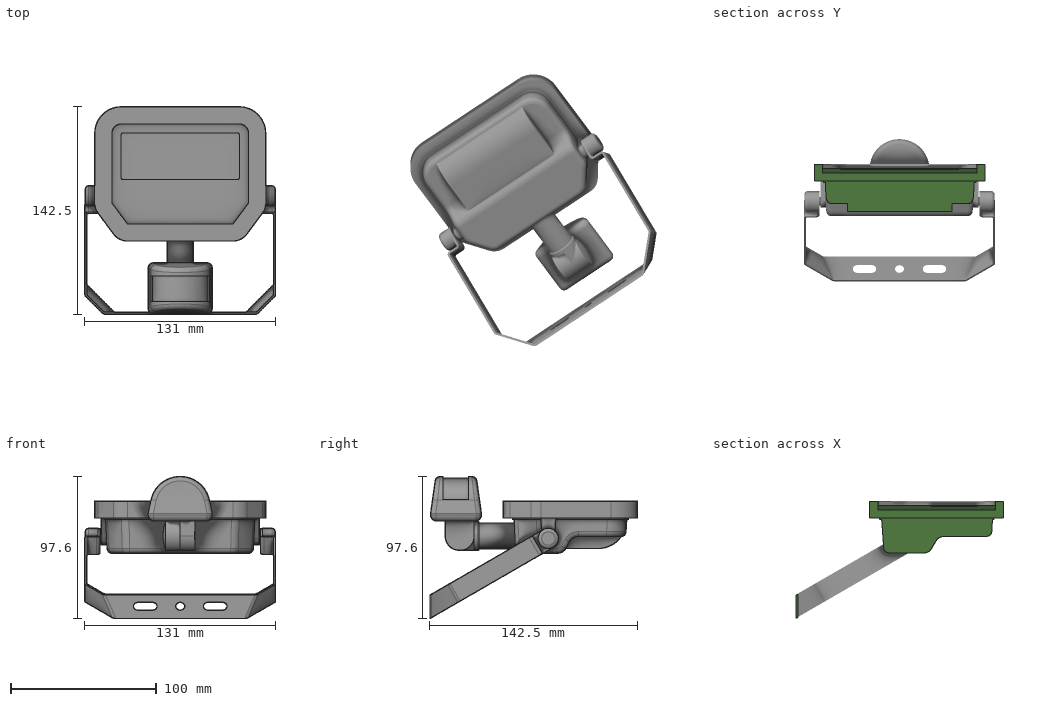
import cadquery as cq
import math


frame_height = 11.7
frame_border = 11.85
opening_half_width = 46.85
opening_rear_y = 34.4
opening_front_y = -34.15
opening_front_half_width = 36.2
opening_chamfer_y = -19.85
opening_rear_radius = 6.5
lip_thickness = 1.0
panel_border = 6.0
panel_recess = 2.9
panel_thickness = 3.0
window_width = 81.2
window_length = 32.0
window_center_y = 12.2
window_radius = 1.5
window_thickness = 1.0

housing_depth = 24.2
housing_border = 4.45
housing_draft = 3.0
housing_rear_radius = 13.4
housing_front_radius = 6.5
housing_edge_fillet = 3.6
rim_border = 5.55
rim_thickness = 1.0
shallow_depth = 12.7
step_bend_radius = 6.9
step_angle = 60.0
step_front_y = -8.9
belly_half_width = 36.0
belly_depth = 21.0
belly_rear_radius = 20.0

pivot_y = -14.95
pivot_z = -13.96
post_width_top = 10.3
post_width_bottom = 8.8
post_outer_x = 54.3
post_edge_fillet = 0.6
knob_radius = 7.0
knob_outer_x = 65.2
knob_fillet = 2.4
screw_diameter = 5.8
screw_inner_x = 48.0
ear_hole_diameter = 6.0
sheet = 1.5
bend_inner_radius = 1.0
bend_outer_radius = bend_inner_radius + sheet
bracket_tilt = 30.0
bracket_half_width = 65.5
bracket_band = 14.0
ear_inner_x = 55.0
ear_outer_x = ear_inner_x + sheet
jog_distance = 8.6
diagonal_distance = 74.9
bracket_front_y = -96.25
mounting_hole = 6.0
slot_pitch = 10.0
slot_x = 24.0

hinge_y = -75.8
hinge_z = -12.2
hinge_radius = 10.0
hinge_half_width = 10.0
hinge_cap_height = 1.8
stem_diameter = 18.0
collar_rear_y = -62.5
collar_fillet = 0.95
stem_socket_depth = 3.0
stem_rear_y = -36.0
head_center_y = -78.3
head_half_length = 17.5
head_bottom_z = -2.0
head_straight_height = 5.2
head_side_draft = 12.0
head_end_draft = 8.0
head_dome_radius = 20.5
head_top_z = 28.6
head_end_fillet = 3.6
head_bottom_fillet = 4.2
lens_length = 17.5
lens_center_y = -78.55
lens_bottom_z = 12.7
lens_inset = 1.0


def box_between(x0, x1, y0, y1, z0, z1):
    return cq.Workplane("XY").box(x1 - x0, y1 - y0, z1 - z0, centered=False).translate((x0, y0, z0))


def corner_edges(block, x, y):
    """The upright edges that start at (+-x, y) on the XY plane."""
    corners = [cq.Vector(side * x, y, 0) for side in (-1, 1)]
    found = []
    for edge in block.edges("not #Z").vals():
        ends = (edge.startPoint(), edge.endPoint())
        if any((end - corner).Length < 0.01 for end in ends for corner in corners):
            found.append(edge)
    return block.newObject(found)


def plan_block(border, height, rear_radius, front_radius, draft=0):
    """Six-sided block, a border wider than the frame opening, on the XY plane, with rounded corners."""
    flank_x = opening_half_width - opening_front_half_width
    flank_y = opening_chamfer_y - opening_front_y
    flank_angle = math.atan2(flank_y, flank_x)
    half_width = opening_half_width + border
    rear_y = opening_rear_y + border
    front_y = opening_front_y - border
    shoulder_y = opening_chamfer_y - border * math.tan((math.pi / 2 - flank_angle) / 2)
    front_half_width = opening_front_half_width + border * math.tan(flank_angle / 2)
    block = (
        cq.Workplane("XY")
        .polyline([
            (-half_width, rear_y),
            (half_width, rear_y),
            (half_width, shoulder_y),
            (front_half_width, front_y),
            (-front_half_width, front_y),
            (-half_width, shoulder_y),
        ])
        .close()
        .extrude(height, taper=draft)
    )
    block = block.edges("not #Z").edges(">Y").fillet(rear_radius)
    if front_radius > 0:
        block = corner_edges(block, half_width, shoulder_y).fillet(front_radius)
        block = corner_edges(block, front_half_width, front_y).fillet(front_radius)
    return block


panel_top_z = frame_height - panel_recess
panel_bottom_z = panel_top_z - panel_thickness


def panel_block(height):
    block = plan_block(panel_border, height, opening_rear_radius + panel_border, panel_border)
    return block.translate((0, 0, panel_bottom_z))


def make_frame():
    outer = plan_block(frame_border, frame_height, opening_rear_radius + frame_border, frame_border)
    opening = plan_block(0, panel_thickness + panel_recess, opening_rear_radius, 0)
    opening = opening.translate((0, 0, panel_bottom_z))
    chamber = panel_block(frame_height - lip_thickness - panel_bottom_z)
    return outer.cut(opening).cut(chamber)


def make_window():
    plate = cq.Workplane("XY").box(window_width, window_length, window_thickness)
    plate = plate.edges("|Z").fillet(window_radius)
    return plate.translate((0, window_center_y, panel_top_z - window_thickness / 2))


def make_panel(window):
    return panel_block(panel_thickness).cut(window)


def side_profile_cutter():
    """Everything above the stepped underside, as a prism across the full width."""
    angle = math.radians(step_angle)
    arc_y = step_bend_radius * math.sin(angle)
    arc_z = step_bend_radius * (1 - math.cos(angle))
    ramp_z = housing_depth - shallow_depth - 2 * arc_z
    ramp_y = ramp_z / math.tan(angle)
    half = angle / 2
    mid_y = step_bend_radius * math.sin(half)
    mid_z = step_bend_radius * (1 - math.cos(half))
    lower_y = step_front_y + arc_y
    upper_y = lower_y + ramp_y
    rear_y = upper_y + arc_y
    reach = 100.0
    return (
        cq.Workplane("YZ")
        .moveTo(-reach, -housing_depth)
        .lineTo(step_front_y, -housing_depth)
        .threePointArc(
            (step_front_y + mid_y, mid_z - housing_depth),
            (lower_y, arc_z - housing_depth),
        )
        .lineTo(upper_y, -shallow_depth - arc_z)
        .threePointArc((rear_y - mid_y, -shallow_depth - mid_z), (rear_y, -shallow_depth))
        .lineTo(reach, -shallow_depth)
        .lineTo(reach, 0)
        .lineTo(-reach, 0)
        .close()
        .extrude(reach, both=True)
    )


def make_shell():
    block = plan_block(
        housing_border, -housing_depth, housing_rear_radius, housing_front_radius, housing_draft
    )
    block = block.intersect(side_profile_cutter())
    return block.faces("<Z").edges("<Y").fillet(housing_edge_fillet)


def make_belly():
    """Deeper middle part behind the step, rounded off at the rear."""
    rear_y = opening_rear_y + housing_border
    belly = box_between(-belly_half_width, belly_half_width, step_front_y, rear_y, -belly_depth, 0)
    return belly.edges(">Y and <Z").fillet(belly_rear_radius)


def make_post(side):
    half_top = post_width_top / 2
    half_bottom = post_width_bottom / 2
    post = (
        cq.Workplane("YZ", origin=(side * belly_half_width, pivot_y, 0))
        .moveTo(-half_top, 0)
        .lineTo(-half_bottom, pivot_z)
        .threePointArc((0, pivot_z - half_bottom), (half_bottom, pivot_z))
        .lineTo(half_top, 0)
        .close()
        .extrude(side * (post_outer_x - belly_half_width))
    )
    outer_face = post.faces(">X" if side > 0 else "<X")
    return outer_face.edges("not >Z").fillet(post_edge_fillet)


def pivot_cylinder(side, diameter, inner_x, outer_x):
    return (
        cq.Workplane("YZ", origin=(side * inner_x, pivot_y, pivot_z))
        .circle(diameter / 2)
        .extrude(side * (outer_x - inner_x))
    )


def make_housing():
    rim = plan_block(rim_border, -rim_thickness, housing_rear_radius, housing_front_radius)
    housing = make_shell().union(make_belly()).union(rim)
    for side in (-1, 1):
        housing = housing.union(make_post(side))
        housing = housing.cut(pivot_cylinder(side, screw_diameter, screw_inner_x, post_outer_x))
    socket = y_cylinder(stem_diameter / 2, stem_rear_y - 2 * stem_socket_depth, stem_rear_y)
    return housing.cut(socket)


def make_knob(side):
    knob = pivot_cylinder(side, 2 * knob_radius, ear_outer_x, knob_outer_x)
    knob = knob.faces(">X" if side > 0 else "<X").edges().fillet(knob_fillet)
    return knob.union(pivot_cylinder(side, screw_diameter, screw_inner_x, ear_outer_x))


tilt = math.radians(bracket_tilt)
strip_plane = cq.Plane(
    origin=(0, pivot_y, pivot_z),
    xDir=(1, 0, 0),
    normal=(0, -math.sin(tilt), math.cos(tilt)),
)


def strip_prism(points):
    return cq.Workplane(strip_plane).polyline(points).close().extrude(bracket_band / 2, both=True)


def strip_rectangle(x0, x1, y0, y1):
    return strip_prism([(x0, y0), (x1, y0), (x1, y1), (x0, y1)])


def strip_edges(body, x, y):
    """The edges across the strip at local (+-x, y)."""
    corners = [strip_plane.toWorldCoords((side * x, y, 0)) for side in (-1, 1)]
    found = []
    for edge in body.edges().vals():
        if any((edge.Center() - corner).Length < 0.01 for corner in corners):
            found.append(edge)
    return body.newObject(found)


def bracket_envelope(inset, bend_radius, jog_radius):
    """Filled arms and diagonals, cut off upright at the front; diagonals are at 45 degrees in plan."""
    slope = math.cos(tilt)
    half_width = bracket_half_width - inset
    bend_shift = inset * math.tan(math.atan(slope) / 2)
    bend_y = -(diagonal_distance - bend_shift)
    overrun = 35.0
    far_y = bend_y - overrun
    far_x = half_width - overrun * slope
    start_y = -(jog_distance + inset)
    body = strip_prism([
        (-half_width, start_y),
        (half_width, start_y),
        (half_width, bend_y),
        (far_x, far_y),
        (-far_x, far_y),
        (-half_width, bend_y),
    ])
    body = strip_edges(body, half_width, start_y).fillet(jog_radius)
    body = strip_edges(body, half_width, bend_y).fillet(bend_radius)
    reach = 150.0
    body = body.intersect(box_between(-reach, reach, bracket_front_y + inset, reach, -reach, reach))
    return body.faces("<Y").edges("not |X").fillet(bend_radius)


def mounting_cutter(x, pitch):
    """Hole or slot, round as seen along the arms, punched straight through the upright plate."""
    half_height = mounting_hole / 2 * math.cos(tilt)
    plate_y = bracket_front_y + sheet / 2
    center_z = pivot_z - (pivot_y - plate_y) * math.tan(tilt)
    cutter = cq.Workplane("XZ", origin=(x, plate_y, center_z))
    if pitch > 0:
        ends = cutter.pushPoints([(-pitch / 2, 0), (pitch / 2, 0)])
        ends = ends.ellipse(mounting_hole / 2, half_height).extrude(sheet, both=True, combine=True)
        return ends.union(cutter.rect(pitch, 2 * half_height).extrude(sheet, both=True))
    return cutter.ellipse(mounting_hole / 2, half_height).extrude(sheet, both=True)


def make_bracket():
    bracket = bracket_envelope(0, bend_outer_radius, bend_outer_radius)
    bracket = bracket.cut(bracket_envelope(sheet, bend_inner_radius, bend_inner_radius))
    jog_end = -(jog_distance + sheet)
    bracket = bracket.cut(strip_rectangle(-ear_inner_x, ear_inner_x, jog_end, -jog_distance))
    for side in (-1, 1):
        ear = strip_rectangle(side * ear_inner_x, side * ear_outer_x, jog_end, 0)
        ear = ear.union(pivot_cylinder(side, bracket_band, ear_inner_x, ear_outer_x))
        bracket = bracket.union(ear)
    bracket = strip_edges(bracket, ear_inner_x, jog_end).fillet(bend_outer_radius)
    bracket = strip_edges(bracket, ear_outer_x, -jog_distance).fillet(bend_inner_radius)
    for side in (-1, 1):
        bracket = bracket.cut(pivot_cylinder(side, ear_hole_diameter, ear_inner_x, ear_outer_x))
        bracket = bracket.cut(mounting_cutter(side * slot_x, slot_pitch))
    return bracket.cut(mounting_cutter(0, 0))


def y_cylinder(radius, front_y, rear_y):
    return cq.Workplane("XZ", origin=(0, rear_y, hinge_z)).circle(radius).extrude(rear_y - front_y)


def make_stem():
    """Tube with a collar and one half of the hinge, which has a domed cap."""
    collar = y_cylinder(hinge_radius, hinge_y, collar_rear_y).faces(">Y").edges().fillet(collar_fillet)
    chord_height = hinge_cap_height / 2
    sphere_radius = (hinge_radius ** 2 + hinge_cap_height ** 2) / (2 * hinge_cap_height)
    mid_radius = math.sqrt(sphere_radius ** 2 - (sphere_radius - chord_height) ** 2)
    cap_x = -hinge_half_width - hinge_cap_height
    knuckle = (
        cq.Workplane("XY", origin=(0, hinge_y, hinge_z))
        .lineTo(0, hinge_radius)
        .lineTo(-hinge_half_width, hinge_radius)
        .threePointArc((cap_x + chord_height, mid_radius), (cap_x, 0))
        .close()
        .revolve(360, (0, 0), (1, 0))
    )
    leg_space = box_between(
        0, hinge_radius, hinge_y - hinge_radius, hinge_y + hinge_radius,
        hinge_z - hinge_radius, hinge_z + hinge_radius,
    )
    tube = y_cylinder(stem_diameter / 2, collar_rear_y, stem_rear_y)
    return tube.union(collar.cut(leg_space)).union(knuckle)


dome_z = head_top_z - head_dome_radius
straight_top_z = head_bottom_z + head_straight_height


def make_head_body():
    draft = math.radians(head_side_draft)
    tangent_x = head_dome_radius * math.cos(draft)
    tangent_z = dome_z + head_dome_radius * math.sin(draft)
    half_width = tangent_x + (tangent_z - straight_top_z) * math.tan(draft)
    section = (
        cq.Workplane("XZ", origin=(0, head_center_y, 0))
        .moveTo(-half_width, straight_top_z)
        .lineTo(-tangent_x, tangent_z)
        .threePointArc((0, head_top_z), (tangent_x, tangent_z))
        .lineTo(half_width, straight_top_z)
        .close()
        .extrude(head_half_length, both=True)
    )
    overrun_z = head_top_z + head_end_fillet
    end_shift = (overrun_z - straight_top_z) * math.tan(math.radians(head_end_draft))
    top_half_length = head_half_length - end_shift
    ends = (
        cq.Workplane("YZ", origin=(0, head_center_y, 0))
        .polyline([
            (-head_half_length, straight_top_z),
            (-top_half_length, overrun_z),
            (top_half_length, overrun_z),
            (head_half_length, straight_top_z),
        ])
        .close()
        .extrude(2 * half_width, both=True)
    )
    hood = section.intersect(ends)
    end_edges = hood.faces("<Y or >Y").edges("not <Z")
    hood = hood.newObject(end_edges.vals()).fillet(head_end_fillet)
    base = hood.faces("<Z").workplane().add(hood.faces("<Z").wires()).toPending()
    base = base.extrude(head_straight_height, combine=False)
    base = base.faces("<Z").edges().fillet(head_bottom_fillet)
    return hood.union(base)


def make_leg():
    """Other half of the hinge, hanging from the head and rounded below the hinge axis."""
    leg = (
        cq.Workplane("YZ", origin=(0, hinge_y, hinge_z))
        .moveTo(-hinge_radius, head_bottom_z - hinge_z)
        .lineTo(-hinge_radius, 0)
        .threePointArc((0, -hinge_radius), (hinge_radius, 0))
        .lineTo(hinge_radius, head_bottom_z - hinge_z)
        .close()
        .extrude(hinge_half_width)
    )
    return leg


def make_lens():
    radius = head_dome_radius - lens_inset
    disc = (
        cq.Workplane("XZ", origin=(0, lens_center_y, dome_z))
        .circle(radius)
        .extrude(lens_length / 2, both=True)
    )
    reach = 200.0
    return disc.intersect(box_between(-reach, reach, -reach, reach, lens_bottom_z, reach))


def make_head():
    half = lens_length / 2
    lens_space = box_between(
        -bracket_half_width, bracket_half_width, lens_center_y - half, lens_center_y + half,
        lens_bottom_z, 2 * head_top_z,
    )
    return make_head_body().union(make_leg()).cut(lens_space)


frame = make_frame()
window = make_window()
panel = make_panel(window)
housing = make_housing()
knobs = [make_knob(side) for side in (-1, 1)]
bracket = make_bracket()
stem = make_stem()
lens = make_lens()
head = make_head()

result = cq.Compound.makeCompound([
    frame.val(),
    window.val(),
    panel.val(),
    housing.val(),
    *[knob.val() for knob in knobs],
    bracket.val(),
    stem.val(),
    lens.val(),
    head.val(),
])